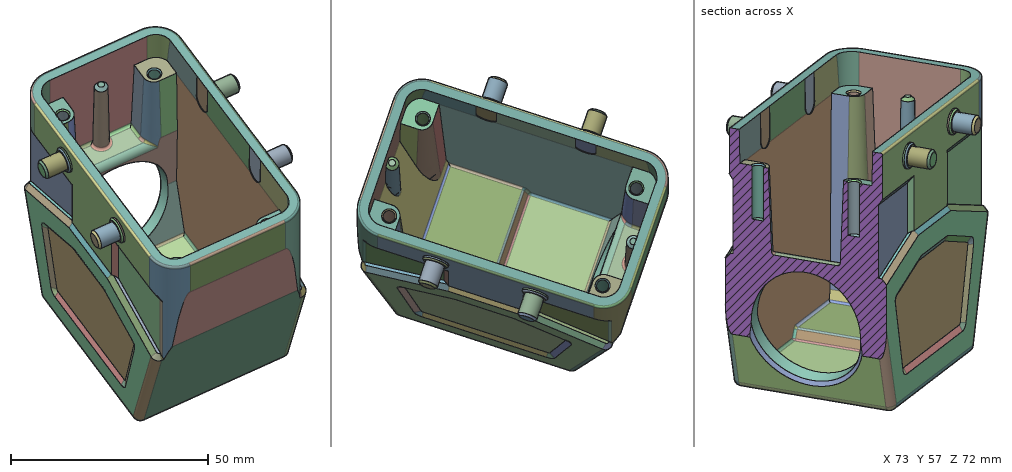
import cadquery as cq
import math

length = 73.0
height = 72.0
collar_width = 43.1
collar_corner_radius = 7.6
collar_bottom_z = 33.6
rim_fillet = 0.6

taper_start_z = 61.0
bend_z = 40.15
bend_half_length = 35.05
end_angle = 15.0

hood_width = 45.25
shoulder_peak_z = 44.7
shoulder_peak_half_length = 9.85
shoulder_end_z = 35.9
shoulder_bevel = 1.4
hood_edge_fillet = 2.05

side_recess_depth = 1.1
side_recess_top = 59.4
side_recess_start_x = 9.9
side_recess_bevel = 1.6
side_recess_end_fillet = 1.45

panel_depth = 0.9
panel_bevel = 1.6
panel_bottom_z = 8.0
panel_bottom_half_length = 18.4
panel_shoulder_z = 31.25
panel_shoulder_half_length = 23.7
panel_top_z = 37.15
panel_top_half_length = 7.95
panel_corner_radius = 2.2

pin_x = 13.3
pin_z = 66.1
pin_diameter = 5.1
pin_span = 57.0
pin_chamfer = 0.6
pin_flange_diameter = 6.85
pin_flange_height = 0.9
pin_flange_chamfer = 0.45
groove_width = 5.5
groove_bottom_z = 61.55

cavity_length = 67.0
cavity_width = 37.2
cavity_corner_radius = 4.4
cavity_draft_start_width = 36.8
cavity_floor_width = 35.3
floor_fillet = 0.65
draft_start_z = 62.4
low_floor_z = 4.4
low_floor_end_x = -20.5
high_floor_z = 7.3
high_floor_end_x = 22.9
floor_step_x = 1.4
floor_step_run = 1.4
shelf_z = 39.4
shelf_edge_x = -25.0
shelf_edge_fillet = 1.9
shelf_root_fillet = 0.7

post_top_z = 62.8
post_inner_x = 25.85
post_inner_y = 10.45
post_corner_radius = 2.9
post_draft = 2.3
post_hole_x = 28.55
post_hole_y = 13.4
post_hole_diameter = 3.1
post_hole_chamfer = 0.4
post_hole_depth = 14.6
rib_x = 32.3
rib_diameter = 3.5
rib_draft = 1.0
rib_tip_chamfer = 0.9

entry_z = 19.9
entry_diameter = 30.5
entry_chamfer = 0.95
entry_depth = 14.6

end_slope = math.tan(math.radians(end_angle))
SIDES = (-1, 1)
CHAMFER_ANGLE = 45
selection_margin = 0.1


def end_x(z):
    """Half length of the outside at height z on the slanted ends."""
    return bend_half_length - (bend_z - z) * end_slope


def edges_within(half_x, half_y, low_z, high_z):
    """Selector for edges whose centres lie in a box centred on the Z axis."""
    margin = selection_margin
    return cq.selectors.BoxSelector(
        (-half_x - margin, -half_y - margin, low_z - margin),
        (half_x + margin, half_y + margin, high_z + margin),
    )


def mirrored(right_points):
    """Close a list of +X points, bottom to top, into a symmetric outline."""
    return right_points + [(-x, z) for x, z in reversed(right_points)]


def prism(points, width):
    """XZ outline extruded to the given width, centred on Y = 0."""
    return cq.Workplane("XZ").polyline(points).close().extrude(width / 2, both=True)


def side_plane(side, y):
    """Plane on a long side, its normal pointing inwards; local y is Z."""
    return cq.Plane(origin=(0, side * y, 0), xDir=(side, 0, 0), normal=(0, -side, 0))


def bevel_angle(bevel, depth):
    """Taper, in degrees, of a wall that moves in by bevel over depth."""
    return math.degrees(math.atan2(bevel, depth))


def make_collar():
    """Upright rim shell, solid, tapering in at its end walls."""
    block = (
        cq.Workplane("XY")
        .rect(length, collar_width)
        .extrude(height)
        .edges("|Z")
        .fillet(collar_corner_radius)
        .faces(">Z")
        .edges()
        .fillet(rim_fillet)
    )
    outline = mirrored([
        (end_x(collar_bottom_z), collar_bottom_z),
        (bend_half_length, bend_z),
        (length / 2, taper_start_z),
        (length / 2, height),
    ])
    return block.intersect(prism(outline, collar_width))


def cut_side_recesses(body):
    """Sink the four flats beside the centre web of the collar."""
    for side in SIDES:
        for end in SIDES:
            recess = (
                cq.Workplane(side_plane(side, collar_width / 2))
                .center(end * (side_recess_start_x + length / 2), side_recess_top - height / 2)
                .rect(length, height)
                .extrude(side_recess_depth, taper=bevel_angle(side_recess_bevel, side_recess_depth))
            )
            body = body.cut(recess)
    face_y = collar_width / 2 - side_recess_depth
    upright_edges = edges_within(length, face_y, collar_bottom_z, side_recess_top)
    outer_edges = body.edges("|Z").edges(upright_edges).edges("<X or >X")
    return outer_edges.fillet(side_recess_end_fillet)


def make_hood():
    """Solid lower hood with rounded edges and a bevelled shoulder."""
    outline = mirrored([
        (end_x(0), 0),
        (end_x(shoulder_end_z), shoulder_end_z),
        (shoulder_peak_half_length, shoulder_peak_z),
    ])
    hood = prism(outline, hood_width)
    hood = hood.edges(edges_within(length, hood_width, 0, shoulder_end_z / 2)).fillet(hood_edge_fillet)
    shoulder_edges = edges_within(length, hood_width, shoulder_end_z + shoulder_bevel, height)
    return hood.faces("<Y or >Y").edges(shoulder_edges).chamfer(shoulder_bevel)


def cut_label_panels(body):
    """Sink a bevelled, round-cornered panel into each hood side."""
    outline = mirrored([
        (panel_bottom_half_length, panel_bottom_z),
        (panel_shoulder_half_length, panel_shoulder_z),
        (panel_top_half_length, panel_top_z),
    ])
    rounded = cq.Sketch().polygon(outline + outline[:1]).vertices().fillet(panel_corner_radius)
    for side in SIDES:
        panel = (
            cq.Workplane(side_plane(side, hood_width / 2))
            .placeSketch(rounded)
            .extrude(panel_depth, taper=bevel_angle(panel_bevel, panel_depth))
        )
        body = body.cut(panel)
    return body


def make_posts():
    """Four corner posts that widen downwards and merge into the walls."""
    posts = cq.Workplane("XY")
    radius = post_corner_radius
    for end in SIDES:
        for side in SIDES:
            post = (
                cq.Workplane("XY", origin=(0, 0, post_top_z))
                .moveTo(end * length / 2, side * collar_width / 2)
                .lineTo(end * post_inner_x, side * collar_width / 2)
                .lineTo(end * post_inner_x, side * (post_inner_y + radius))
                .radiusArc((end * (post_inner_x + radius), side * post_inner_y), -end * side * radius)
                .lineTo(end * length / 2, side * post_inner_y)
                .close()
                .extrude(-post_top_z, taper=-post_draft)
            )
            posts = posts.add(post)
    shelf_gap = cq.Workplane("XY").box(-shelf_edge_x, collar_width * 2, height * 2).translate(
        (shelf_edge_x / 2, 0, 0)
    )
    return posts.combine().cut(shelf_gap)


def make_ribs():
    """Round drafted coding ribs with conical tips, half sunk into the end walls."""
    top_radius = rib_diameter / 2
    shaft_height = post_top_z - rib_tip_chamfer
    foot_radius = top_radius + shaft_height * math.tan(math.radians(rib_draft))
    ribs = cq.Workplane("XY")
    for x in (-rib_x, rib_x):
        shaft = cq.Solid.makeCone(foot_radius, top_radius, shaft_height, pnt=cq.Vector(x, 0, 0))
        tip = cq.Solid.makeCone(
            top_radius, top_radius - rib_tip_chamfer, rib_tip_chamfer, pnt=cq.Vector(x, 0, shaft_height)
        )
        ribs = ribs.add(shaft.fuse(tip))
    return ribs.combine()


def make_grooves():
    """Upright round-ended grooves behind the pins, fading out towards the rim."""
    radius = groove_width / 2
    grooves = cq.Workplane("XY")
    for x in (-pin_x, pin_x):
        groove = (
            cq.Workplane("XZ")
            .moveTo(x - radius, height)
            .lineTo(x - radius, groove_bottom_z + radius)
            .threePointArc((x, groove_bottom_z), (x + radius, groove_bottom_z + radius))
            .lineTo(x + radius, height)
            .close()
            .extrude(cavity_width / 2, both=True)
        )
        grooves = grooves.add(groove)
    return grooves.combine()


def make_cavity():
    """Inside space, less everything that stands in it."""
    wall_x = cavity_length / 2
    high_floor_wall_z = high_floor_z + (wall_x - high_floor_end_x) / end_slope
    shelf_wall_z = low_floor_z + (low_floor_end_x - shelf_edge_x) / end_slope
    lengthwise = prism(
        [
            (-wall_x, height),
            (-wall_x, shelf_z),
            (shelf_edge_x, shelf_z),
            (shelf_edge_x, shelf_wall_z),
            (low_floor_end_x, low_floor_z),
            (floor_step_x, low_floor_z),
            (floor_step_x + floor_step_run, high_floor_z),
            (high_floor_end_x, high_floor_z),
            (wall_x, high_floor_wall_z),
            (wall_x, height),
        ],
        cavity_width,
    )
    shelf_edge = cq.selectors.NearestToPointSelector((shelf_edge_x, 0, shelf_z))
    lengthwise = lengthwise.edges(shelf_edge).fillet(shelf_edge_fillet)
    crosswise = (
        cq.Workplane("YZ")
        .polyline(mirrored([
            (cavity_floor_width / 2, low_floor_z),
            (cavity_draft_start_width / 2, draft_start_z),
            (cavity_width / 2, height),
        ]))
        .close()
        .extrude(length / 2, both=True)
    )
    rounded = (
        cq.Workplane("XY")
        .rect(cavity_length, cavity_width)
        .extrude(height)
        .edges("|Z")
        .fillet(cavity_corner_radius)
    )
    cavity = lengthwise.intersect(crosswise).intersect(rounded)
    floor_edges = edges_within(length, cavity_width, low_floor_z, high_floor_z)
    cavity = cavity.edges(floor_edges).fillet(floor_fillet)
    cavity = cavity.union(make_grooves()).cut(make_posts()).cut(make_ribs())
    shelf_root = cq.selectors.BoxSelector(
        (-length / 2, -cavity_width / 2, shelf_z - selection_margin),
        (shelf_edge_x - shelf_edge_fillet - selection_margin, cavity_width / 2, shelf_z + selection_margin),
    )
    return cavity.edges(shelf_root).fillet(shelf_root_fillet)


def cut_post_holes(body):
    """Blind screw holes in the post tops."""
    for x in (-post_hole_x, post_hole_x):
        for y in (-post_hole_y, post_hole_y):
            top = cq.Workplane("XY", origin=(x, y, post_top_z))
            hole = top.circle(post_hole_diameter / 2).extrude(-post_hole_depth)
            countersink = top.circle(post_hole_diameter / 2 + post_hole_chamfer).extrude(
                -post_hole_chamfer, taper=CHAMFER_ANGLE
            )
            body = body.cut(hole).cut(countersink)
    return body


def cut_cable_entry(body):
    """Round opening with a countersunk mouth in the slanted end."""
    angle = math.radians(end_angle)
    face = cq.Plane(
        origin=(-end_x(entry_z), 0, entry_z),
        xDir=(0, 1, 0),
        normal=(math.cos(angle), 0, math.sin(angle)),
    )
    bore = cq.Workplane(face).circle(entry_diameter / 2).extrude(entry_depth)
    mouth = cq.Workplane(face).circle(entry_diameter / 2 + entry_chamfer)
    countersink = mouth.extrude(entry_chamfer, taper=CHAMFER_ANGLE)
    return body.cut(bore).cut(countersink)


def make_pin(x, side):
    """Locking pin with its root flange, from the wall outwards."""
    wall_y = (collar_width + cavity_width) / 4
    flange_y = collar_width / 2 + pin_flange_height
    axis = cq.Plane(
        origin=(x, side * wall_y, pin_z), xDir=(1, 0, 0), normal=(0, side, 0)
    )
    pin = (
        cq.Workplane(axis)
        .circle(pin_diameter / 2)
        .extrude(pin_span / 2 - wall_y)
        .faces(">Y" if side > 0 else "<Y")
        .chamfer(pin_chamfer)
    )
    flange = (
        cq.Workplane(axis)
        .circle(pin_flange_diameter / 2)
        .extrude(flange_y - wall_y)
        .faces(">Y" if side > 0 else "<Y")
        .chamfer(pin_flange_chamfer)
    )
    return pin.union(flange)


body = cut_side_recesses(make_collar())
body = body.union(make_hood())
body = cut_label_panels(body)
body = body.cut(make_cavity())
body = cut_post_holes(body)
body = cut_cable_entry(body)
for pin_side in SIDES:
    for pin_position in (-pin_x, pin_x):
        body = body.union(make_pin(pin_position, pin_side))

result = body